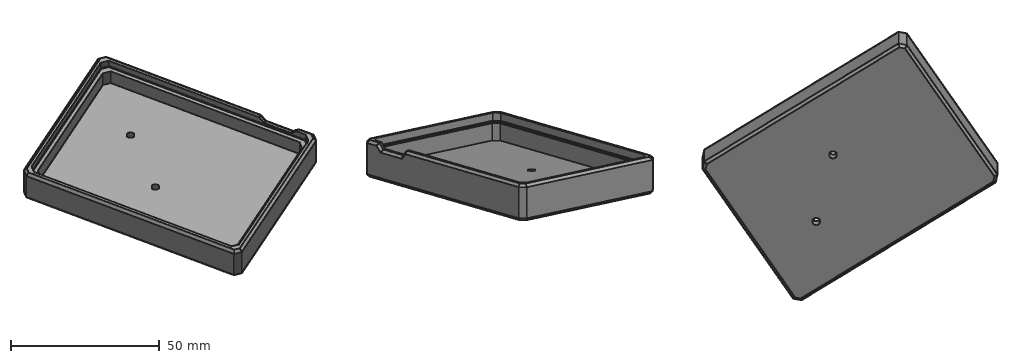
import math

import cadquery as cq

length = 81.9
width = 59.8
height = 12.8

corner_chamfer = 2.0
edge_chamfer = 1.0

lid_wall = 2.0
lid_depth = 3.0
cavity_wall = 3.5
floor_thickness = 3.8

step_inset = 0.2
step_height = 0.3

hole_diameter = 2.5
hole_centers = [(-19.1, 8.5), (-1.2, -8.5)]

notch_left = 19.5
notch_right = 33.6
notch_depth = 2.0


def octagonal_block(wall, bottom, top):
    """Block inset by wall from the outer sides, with chamfered upright corners."""
    return (
        cq.Workplane("XY", origin=(0, 0, bottom))
        .rect(length - 2 * wall, width - 2 * wall)
        .extrude(top - bottom)
        .edges("|Z")
        .chamfer(corner_chamfer)
    )


def notch_outline(y, growth):
    """Trapezoid in the plane at y, with its floor and slopes moved outward by growth."""
    spread = growth * math.sqrt(2)
    left = notch_left - spread
    right = notch_right + spread
    depth = notch_depth + growth
    corners = [
        (left, height),
        (left + depth, height - depth),
        (right - depth, height - depth),
        (right, height),
    ]
    return cq.Wire.makePolygon([cq.Vector(x, y, z) for x, z in corners], close=True)


def rim_notch():
    """Notch through the +Y wall, flared so that the rim chamfer follows its edge."""
    outer_face = width / 2
    flare_start = outer_face - edge_chamfer
    inner_face = outer_face - lid_wall - step_inset
    passage = cq.Solid.makeLoft([notch_outline(inner_face, 0), notch_outline(outer_face, 0)], True)
    flare = cq.Solid.makeLoft(
        [notch_outline(flare_start, 0), notch_outline(outer_face, edge_chamfer)], True
    )
    return passage.fuse(flare)


body = octagonal_block(0, 0, height).faces("<Z or >Z").edges().chamfer(edge_chamfer)

ledge_level = height - lid_depth
body = body.cut(octagonal_block(lid_wall, ledge_level + step_height, height))
body = body.cut(octagonal_block(lid_wall + step_inset, ledge_level, height))
body = body.cut(octagonal_block(cavity_wall, floor_thickness, height))

body = body.cut(cq.Workplane(rim_notch()))

holes = cq.Workplane("XY").pushPoints(hole_centers).circle(hole_diameter / 2).extrude(floor_thickness)
result = body.cut(holes)